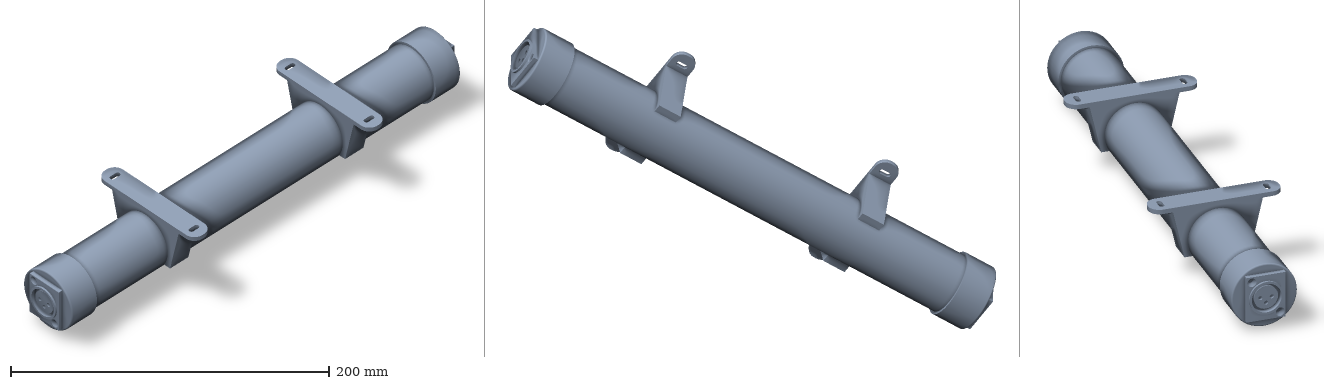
import cadquery as cq

TOTAL_LENGTH = 349.0
OVERALL_HEIGHT = 47.5

TUBE_DIAMETER = 40.0
CAP_DIAMETER = 44.0
CAP_LENGTH = 21.5
CAP_WALL = 3.5
CAP_EDGE_FILLET = 1.0

FLANGE_WIDTH = 26.2
FLANGE_HEIGHT = 31.5
FLANGE_THICKNESS = 3.0
COLLAR_DIAMETER = 23.0
COLLAR_HEIGHT = 1.5
WELL_DIAMETER = 20.0
WELL_DEPTH = 4.0
CORE_DIAMETER = 16.0
CONTACT_HOLE_DIAMETER = 2.8
CONTACT_HOLE_DEPTH = 1.7
CONTACT_SPREAD = 4.0
SCREW_X = 9.5
SCREW_Z = 12.0
SCREW_HOLE_DIAMETER = 2.8
SCREW_SINK_DIAMETER = 6.0
SCREW_SINK_ANGLE = 90.0

BRACKET_LENGTH = 88.0
BRACKET_WIDTH = 16.0
BRACKET_SPACING = 153.2
PLATE_THICKNESS = 3.0
PLATE_CORNER_RADIUS = 7.5
SADDLE_TOP_WIDTH = 60.0
SADDLE_BOTTOM_WIDTH = 44.5
SADDLE_BOTTOM_Z = -10.8
SLOT_SPACING = 71.2
SLOT_LENGTH = 8.0
SLOT_WIDTH = 3.5

CONNECTOR_DEPTH = FLANGE_THICKNESS + COLLAR_HEIGHT
CAP_END = TOTAL_LENGTH / 2 - CONNECTOR_DEPTH
CORE_HEIGHT = WELL_DEPTH - COLLAR_HEIGHT
FLANGE_FACE = -CAP_END - FLANGE_THICKNESS
WELL_FLOOR = WELL_DEPTH - TOTAL_LENGTH / 2
TUBE_LENGTH = 2 * (CAP_END - CAP_WALL)
PLATE_TOP_Z = OVERALL_HEIGHT - CAP_DIAMETER / 2
PLATE_BOTTOM_Z = PLATE_TOP_Z - PLATE_THICKNESS


def front_plane(y):
    """Sketch plane facing -Y at the given Y, with X to the right and Z up."""
    return cq.Workplane("XZ", origin=(0, y, 0))


def make_tube():
    return front_plane(TUBE_LENGTH / 2).circle(TUBE_DIAMETER / 2).extrude(TUBE_LENGTH)


def make_cap():
    """Cup over the -Y end of the tube, with a rounded outer rim."""
    cap = front_plane(CAP_LENGTH - CAP_END).circle(CAP_DIAMETER / 2).extrude(CAP_LENGTH)
    cap = cap.faces("<Y").edges().fillet(CAP_EDGE_FILLET)
    socket_depth = CAP_LENGTH - CAP_WALL
    socket = front_plane(CAP_LENGTH - CAP_END).circle(TUBE_DIAMETER / 2).extrude(socket_depth)
    return cap.cut(socket)


def make_flange():
    """Rectangular flange with a collar, a blind well and two countersunk screw holes."""
    plate = (
        front_plane(-CAP_END)
        .rect(FLANGE_WIDTH, FLANGE_HEIGHT)
        .extrude(FLANGE_THICKNESS)
        .faces("<Y")
        .workplane()
        .pushPoints([(-SCREW_X, SCREW_Z), (SCREW_X, -SCREW_Z)])
        .cskHole(SCREW_HOLE_DIAMETER, SCREW_SINK_DIAMETER, SCREW_SINK_ANGLE)
    )
    collar = front_plane(-CAP_END).circle(COLLAR_DIAMETER / 2).extrude(CONNECTOR_DEPTH)
    well = front_plane(WELL_FLOOR).circle(WELL_DIAMETER / 2).extrude(WELL_DEPTH)
    return plate.union(collar).cut(well)


def make_core():
    """Round core on the well floor, level with the flange face, with three blind contact holes."""
    core = front_plane(WELL_FLOOR).circle(CORE_DIAMETER / 2).extrude(CORE_HEIGHT)
    hole_floor = FLANGE_FACE + CONTACT_HOLE_DEPTH
    hole_places = [(-CONTACT_SPREAD, 0), (CONTACT_SPREAD, 0), (0, -CONTACT_SPREAD)]
    contact_holes = (
        front_plane(hole_floor)
        .pushPoints(hole_places)
        .circle(CONTACT_HOLE_DIAMETER / 2)
        .extrude(CONTACT_HOLE_DEPTH)
    )
    return core.cut(contact_holes)


def make_bracket(y):
    """Slotted plate with a tapering saddle that hugs the upper part of the tube."""
    plate = (
        cq.Workplane("XY", origin=(0, y, PLATE_BOTTOM_Z))
        .rect(BRACKET_LENGTH, BRACKET_WIDTH)
        .extrude(PLATE_THICKNESS)
        .edges("|Z")
        .fillet(PLATE_CORNER_RADIUS)
    )
    slots = (
        cq.Workplane("XY", origin=(0, y, PLATE_BOTTOM_Z))
        .pushPoints([(-SLOT_SPACING / 2, 0), (SLOT_SPACING / 2, 0)])
        .slot2D(SLOT_LENGTH, SLOT_WIDTH, 90)
        .extrude(PLATE_THICKNESS)
    )
    back = y + BRACKET_WIDTH / 2
    saddle = (
        front_plane(back)
        .moveTo(-SADDLE_TOP_WIDTH / 2, PLATE_BOTTOM_Z)
        .lineTo(SADDLE_TOP_WIDTH / 2, PLATE_BOTTOM_Z)
        .lineTo(SADDLE_BOTTOM_WIDTH / 2, SADDLE_BOTTOM_Z)
        .lineTo(-SADDLE_BOTTOM_WIDTH / 2, SADDLE_BOTTOM_Z)
        .close()
        .extrude(BRACKET_WIDTH)
    )
    tube_bore = front_plane(back).circle(TUBE_DIAMETER / 2).extrude(BRACKET_WIDTH)
    return plate.cut(slots).union(saddle).cut(tube_bore)


tube = make_tube()
brackets = [make_bracket(y) for y in (-BRACKET_SPACING / 2, BRACKET_SPACING / 2)]

end_parts = []
for turn in (0, 180):
    for make_part in (make_cap, make_flange, make_core):
        end_parts.append(make_part().rotate((0, 0, 0), (0, 0, 1), turn))

bodies = [tube, *brackets, *end_parts]
result = cq.Compound.makeCompound([body.val() for body in bodies])